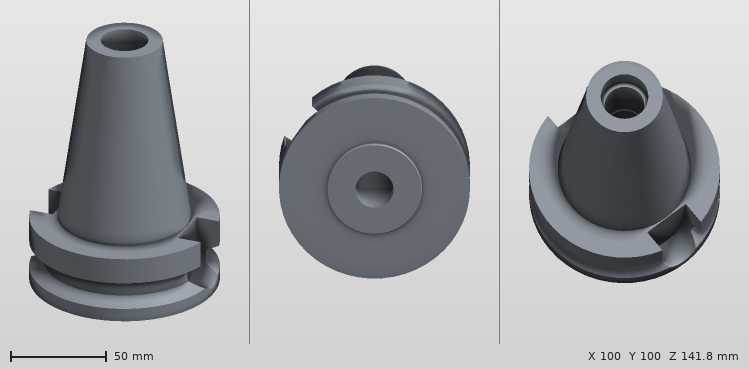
import cadquery as cq
import math


gauge_dia = 69.85
taper_ratio = 7 / 24
taper_length = 101.8
gauge_height = 40.0
small_dia = gauge_dia - taper_length * taper_ratio
top_height = gauge_height + taper_length

flange_dia = 100.0
flange_gap = 1.5
flange_top = gauge_height - flange_gap
nose_dia = 50.0
nose_height = 2.0
nose_chamfer = 0.5

groove_dia = 85.5
groove_center = 16.8
groove_floor_width = 6.6
groove_flank_angle = 30.0
groove_depth = (flange_dia - groove_dia) / 2
groove_floor_half = groove_floor_width / 2
groove_mouth_half = groove_floor_half + groove_depth * math.tan(math.radians(groove_flank_angle))

slot_width = 25.7
slot_floor_distance = 35.4
slot_bottom = 6.0
slot_arc_center = slot_bottom + slot_width / 2

pilot_dia = 25.0
pilot_depth = 13.0
thread_dia = 21.0
thread_depth = 45.0
through_dia = 20.0


def make_body():
    """Revolve the half section of taper, flange, groove and nose about Z."""
    flange_radius = flange_dia / 2
    groove_radius = groove_dia / 2
    nose_radius = nose_dia / 2
    half_section = (
        cq.Workplane("YZ")
        .moveTo(0, 0)
        .lineTo(nose_radius - nose_chamfer, 0)
        .lineTo(nose_radius, nose_chamfer)
        .lineTo(nose_radius, nose_height)
        .lineTo(flange_radius, nose_height)
        .lineTo(flange_radius, groove_center - groove_mouth_half)
        .lineTo(groove_radius, groove_center - groove_floor_half)
        .lineTo(groove_radius, groove_center + groove_floor_half)
        .lineTo(flange_radius, groove_center + groove_mouth_half)
        .lineTo(flange_radius, flange_top)
        .lineTo(gauge_dia / 2, flange_top)
        .lineTo(gauge_dia / 2, gauge_height)
        .lineTo(small_dia / 2, top_height)
        .lineTo(0, top_height)
        .close()
    )
    return half_section.revolve(360, (0, 0, 0), (0, 1, 0))


def make_drive_slot(side):
    """Round-ended slot, open at the top and rim of the flange, on the +X (1) or -X (-1) side."""
    half_width = slot_width / 2
    return (
        cq.Workplane("YZ", origin=(side * slot_floor_distance, 0, 0))
        .moveTo(-half_width, flange_top)
        .lineTo(-half_width, slot_arc_center)
        .threePointArc((0, slot_bottom), (half_width, slot_arc_center))
        .lineTo(half_width, flange_top)
        .close()
        .extrude(side * flange_dia / 2)
    )


def make_bore_step(diameter, depth):
    """Cylinder on the axis reaching down from the narrow end of the taper."""
    return cq.Workplane("XY", origin=(0, 0, top_height - depth)).circle(diameter / 2).extrude(depth)


result = make_body()

for side in (-1, 1):
    result = result.cut(make_drive_slot(side))

bore_steps = (
    (pilot_dia, pilot_depth),
    (thread_dia, thread_depth),
    (through_dia, top_height),
)
for diameter, depth in bore_steps:
    result = result.cut(make_bore_step(diameter, depth))